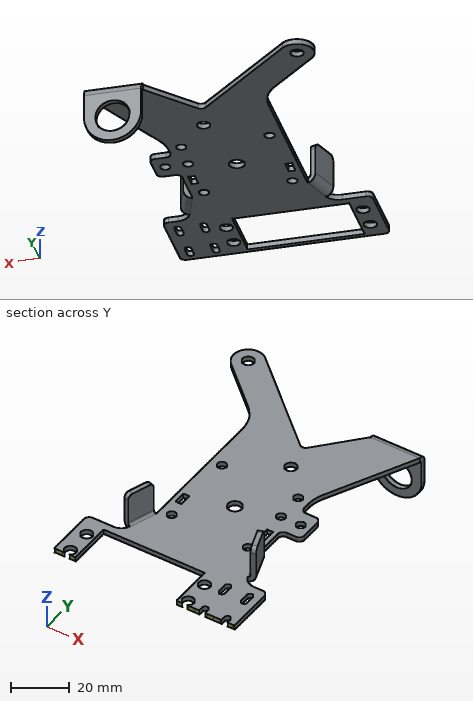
import cadquery as cq
import math

BEND_RADIUS = 1.01
THICKNESS = 2 * BEND_RADIUS
CORNER_RADIUS = 2.1
OVERALL_LENGTH = 129.0

BODY_HALF_WIDTH = 20.1
BEND_CORNER_RADIUS = 15.0

BASE_LEFT = -39.1
BASE_RIGHT = 34.2
BASE_DEPTH = 25.5
WINDOW_LEFT = -30.5
WINDOW_WIDTH = 41.0
WINDOW_FRONT = 1.7
WINDOW_DEPTH = 20.8

NECK_TOP = 39.7
NECK_ANGLE = 19.0
NECK_RADIUS = 5.0

ARM_WIDTH = 12.0
ARM_ANGLE = 42.0
ARM_X = -38.1
ARM_Y = OVERALL_LENGTH - ARM_WIDTH / 2
NOTCH_RADIUS = 2.0

LUG_WIDTH = 20.0
LUG_X = 28.5
LUG_BEND_Y = 112.7
LUG_DEPTH = 22.1
LUG_HOLE_DIAMETER = 12.0
LUG_HOLE_OFFSET = 0.4
LUG_BRANCH_Y = 75.4

EAR_RIGHT = 28.1
EAR_WIDTH = 12.1
EAR_Y = 61.3

TAB_WIDTH = 11.1
TAB_HEIGHT = 12.9
TAB_Y = 34.0

BOLT_DIAMETER = 3.5
BOLT_HALF_PITCH = 15.5
PIVOT_Y = 57.2
PIVOT_DIAMETER = 5.4
EAR_HOLE_XS = (16.0, 24.0)
LINK_DIAMETER = 4.5
LINK_HOLE = (4.5, 84.8)
SERVO_DIAMETER = 4.5
SERVO_HOLE_XS = (-34.0, 14.0)
SERVO_HOLE_YS = (7.2, 17.3)

SLOT_WIDTH = 2.3
BASE_SLOT_LENGTH = 6.0
BASE_SLOT_XS = (21.0, 30.1)
BASE_SLOT_YS = (5.2, 19.1)
BODY_SLOT_LENGTH = 4.9
BODY_SLOT_X = 17.0
BODY_SLOT_Y = 50.6


def neck_half_width(y):
    """Half width of the neck where it widens toward the base."""
    return BODY_HALF_WIDTH + (NECK_TOP - y) * math.tan(math.radians(NECK_ANGLE))


def round_corner(solid, corner, radius):
    """Round the vertical edge of the plate that stands at the given corner."""
    x, y = corner
    edge = cq.selectors.NearestToPointSelector((x, y, -THICKNESS / 2))
    return solid.edges("|Z").edges(edge).fillet(radius)


def make_plate():
    """Flat plate with base, neck, body, ear, arm and the branch for the lug."""
    slope = math.radians(ARM_ANGLE)
    arm_radius = ARM_WIDTH / 2
    side_x = arm_radius * math.sin(slope)
    side_y = arm_radius * math.cos(slope)
    arm_upper = (ARM_X + side_x, ARM_Y + side_y)
    arm_lower = (ARM_X - side_x, ARM_Y - side_y)
    arm_tip = (ARM_X - side_y, ARM_Y + side_x)

    arm_root_run = -BODY_HALF_WIDTH - arm_lower[0]
    arm_root = (-BODY_HALF_WIDTH, arm_lower[1] - arm_root_run * math.tan(slope))

    lug_inner = (LUG_X - LUG_WIDTH / 2, LUG_BEND_Y)
    lug_outer = (LUG_X + LUG_WIDTH / 2, LUG_BEND_Y)
    gap_x = lug_inner[0] - arm_upper[0]
    gap_y = lug_inner[1] - arm_upper[1]
    notch_run = gap_x * math.cos(slope) - gap_y * math.sin(slope)
    notch = (
        arm_upper[0] + notch_run * math.cos(slope),
        arm_upper[1] - notch_run * math.sin(slope),
    )

    branch_root = (BODY_HALF_WIDTH, LUG_BRANCH_Y)
    ear_rear = EAR_Y + EAR_WIDTH / 2
    ear_front = EAR_Y - EAR_WIDTH / 2
    ear_corners = [
        (BODY_HALF_WIDTH, ear_rear),
        (EAR_RIGHT, ear_rear),
        (EAR_RIGHT, ear_front),
        (BODY_HALF_WIDTH, ear_front),
    ]
    neck_foot = neck_half_width(BASE_DEPTH)
    neck_feet = [(neck_foot, BASE_DEPTH), (-neck_foot, BASE_DEPTH)]
    base_corners = [
        (BASE_RIGHT, BASE_DEPTH),
        (BASE_RIGHT, 0),
        (BASE_LEFT, 0),
        (BASE_LEFT, BASE_DEPTH),
    ]

    outline = (
        cq.Workplane("XY")
        .moveTo(*arm_lower)
        .threePointArc(arm_tip, arm_upper)
        .lineTo(*notch)
        .lineTo(*lug_inner)
        .lineTo(*lug_outer)
        .lineTo(*branch_root)
    )
    right_side = ear_corners + [(BODY_HALF_WIDTH, NECK_TOP), neck_feet[0]]
    left_side = [neck_feet[1], (-BODY_HALF_WIDTH, NECK_TOP), arm_root]
    for corner in right_side + base_corners + left_side:
        outline = outline.lineTo(*corner)
    plate = outline.close().extrude(-THICKNESS)

    for corner in (arm_root, branch_root):
        plate = round_corner(plate, corner, BEND_CORNER_RADIUS)
    for corner in neck_feet:
        plate = round_corner(plate, corner, NECK_RADIUS)
    for corner in ear_corners + base_corners:
        plate = round_corner(plate, corner, CORNER_RADIUS)
    return round_corner(plate, notch, NOTCH_RADIUS)


def make_flange(width, height):
    """Strip bent up from the edge x = 0 toward +X, centred on y = 0."""
    outer_radius = BEND_RADIUS + THICKNESS
    diagonal = math.sqrt(0.5)
    return (
        cq.Workplane("XZ", origin=(0, width / 2, 0))
        .moveTo(0, -THICKNESS)
        .threePointArc(
            (outer_radius * diagonal, BEND_RADIUS - outer_radius * diagonal),
            (outer_radius, BEND_RADIUS),
        )
        .lineTo(outer_radius, height)
        .lineTo(BEND_RADIUS, height)
        .lineTo(BEND_RADIUS, BEND_RADIUS)
        .threePointArc(
            (BEND_RADIUS * diagonal, BEND_RADIUS - BEND_RADIUS * diagonal),
            (0, 0),
        )
        .close()
        .extrude(width)
    )


def make_tab():
    """Right-hand tab with rounded upper corners, set along the slanted neck edge."""
    tab = make_flange(TAB_WIDTH, TAB_HEIGHT)
    tab = tab.edges("|X").edges(">Z").fillet(CORNER_RADIUS)
    tab = tab.rotate((0, 0, 0), (0, 0, 1), NECK_ANGLE)
    return tab.translate((neck_half_width(TAB_Y), TAB_Y, 0))


def make_lug():
    """Rear lug bent down, with a full-radius end and a large hole."""
    radius = LUG_WIDTH / 2
    drop = LUG_DEPTH - THICKNESS
    reach = BEND_RADIUS + THICKNESS
    end_centre = cq.Workplane("YZ").center(0, drop - radius)
    rounded_end = end_centre.circle(radius).extrude(reach)
    straight_part = (
        cq.Workplane("XY", origin=(0, 0, -THICKNESS))
        .box(reach, LUG_WIDTH, LUG_DEPTH - radius, centered=(False, True, False))
    )
    hole = end_centre.center(0, LUG_HOLE_OFFSET).circle(LUG_HOLE_DIAMETER / 2).extrude(reach)
    lug = make_flange(LUG_WIDTH, drop).intersect(straight_part.union(rounded_end)).cut(hole)
    lug = lug.rotate((0, 0, 0), (0, 0, 1), 90).mirror("XY")
    return lug.translate((LUG_X, LUG_BEND_Y, -THICKNESS))


def cut_holes(solid, centres, diameter):
    """Cut round holes through the plate at the given centres."""
    cutters = cq.Workplane("XY").pushPoints(centres).circle(diameter / 2).extrude(-THICKNESS)
    return solid.cut(cutters)


def grid(xs, ys):
    """Every combination of the given positions."""
    return [(x, y) for x in xs for y in ys]


result = make_plate()

tab = make_tab()
result = result.union(tab).union(tab.mirror("YZ")).union(make_lug())

window = cq.Workplane("XY").box(WINDOW_WIDTH, WINDOW_DEPTH, THICKNESS, centered=False)
result = result.cut(window.translate((WINDOW_LEFT, WINDOW_FRONT, -THICKNESS)))

bolt_xs = (-BOLT_HALF_PITCH, BOLT_HALF_PITCH)
bolt_ys = (PIVOT_Y - BOLT_HALF_PITCH, PIVOT_Y + BOLT_HALF_PITCH)
result = cut_holes(result, grid(bolt_xs, bolt_ys), BOLT_DIAMETER)
result = cut_holes(result, grid(EAR_HOLE_XS, (EAR_Y,)), BOLT_DIAMETER)
result = cut_holes(result, [(0, PIVOT_Y)], PIVOT_DIAMETER)
result = cut_holes(result, [LINK_HOLE, (ARM_X, ARM_Y)], LINK_DIAMETER)
result = cut_holes(result, grid(SERVO_HOLE_XS, SERVO_HOLE_YS), SERVO_DIAMETER)

base_slots = (
    cq.Workplane("XY")
    .pushPoints(grid(BASE_SLOT_XS, BASE_SLOT_YS))
    .slot2D(BASE_SLOT_LENGTH, SLOT_WIDTH, 90)
    .extrude(-THICKNESS)
)
body_slots = (
    cq.Workplane("XY")
    .pushPoints(grid((-BODY_SLOT_X, BODY_SLOT_X), (BODY_SLOT_Y,)))
    .rect(SLOT_WIDTH, BODY_SLOT_LENGTH)
    .extrude(-THICKNESS)
)
result = result.cut(base_slots).cut(body_slots)